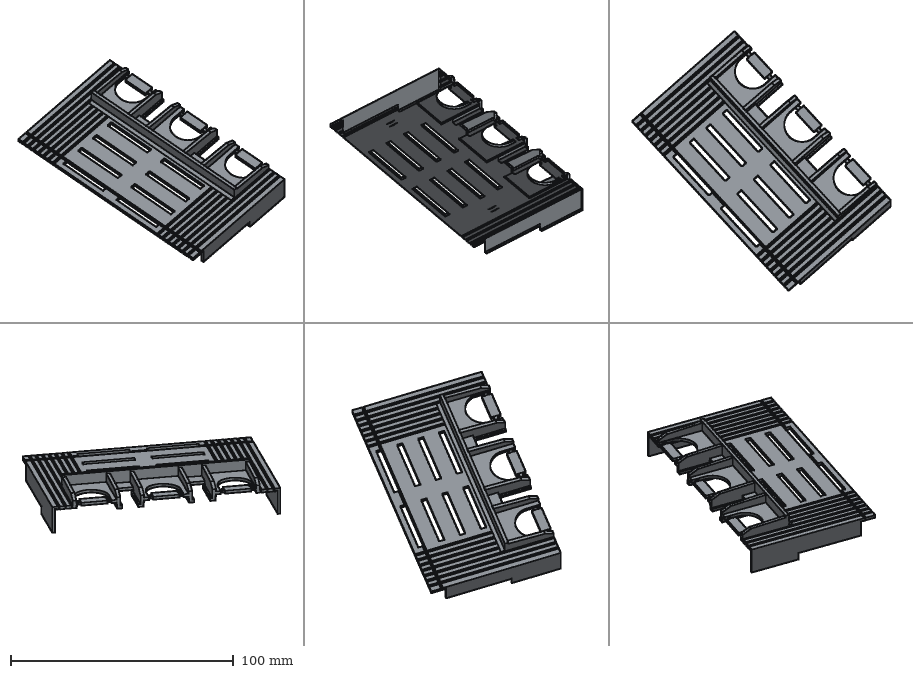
import cadquery as cq

length = 105.0
depth = 62.0
plate_thickness = 1.5
half_length = length / 2

skirt_thickness = 1.3
skirt_front_y = 7.1
skirt_drop = 9.0
skirt_rear_drop = 12.5

groove_half_width = 0.5
groove_depth = 0.37
groove_count = 7
through_groove_count = 3
first_groove_inset = 3.0
last_groove_inset = 21.1
groove_pitch = (last_groove_inset - first_groove_inset) / (groove_count - 1)
relief_width = 0.8
relief_depth = 0.4
front_groove_y = 5.1

wall_half_length = 43.0
wall_height = 6.0
wall_thickness = 1.7
wall_front_y = 38.5
footing_width = 1.8
footing_height = 0.7

rib_thickness = 1.7
rib_wall_height = 5.0
rib_shoulder_height = 4.3
rib_rear_height = 2.2
rib_shoulder_run = 4.2

bay_pitch = 33.1
bay_radius = 8.0
bay_floor_rise = 0.9
bay_bottom_z = bay_floor_rise - plate_thickness
bay_arc_y = 55.5
tab_length = 12.1
tab_width = 4.7
pin_width = 1.8
pin_rear_inset = 1.6
pin_neck_thickness = 0.5

notch_center_x = bay_pitch / 2
notch_width = 9.2
notch_inner_x = notch_center_x - notch_width / 2
notch_outer_x = notch_center_x + notch_width / 2
notch_depth = 15.4
rail_drop = 2.0
rail_stem_thickness = 1.5
rail_foot_width = 2.4
rail_foot_thickness = 1.4

slot_length = 23.9
slot_width = 2.5
slot_center_x = 16.0
slot_rows = 4
slot_pitch = 10.0
first_slot_y = 4.0

ridge_length = 2.1
ridge_half_width = 2.1
ridge_height = 0.3
ridge_center_x = 37.1
ridge_center_y = 23.1


def block(x0, x1, y0, y1, z0, z1):
    """Box between two opposite corners."""
    return cq.Workplane("XY").box(x1 - x0, y1 - y0, z1 - z0, centered=False).translate((x0, y0, z0))


def prism_along_x(points, x0, x1):
    """Outline of (y, z) points extruded from x0 to x1."""
    return cq.Workplane("YZ").workplane(offset=x0).polyline(points).close().extrude(x1 - x0)


def prism_along_y(points, y0, y1):
    """Outline of (x, z) points extruded from y0 to y1."""
    return cq.Workplane("XZ").workplane(offset=-y1).polyline(points).close().extrude(y1 - y0)


def groove_outline(center, surface_z, vertex_z):
    """Triangle of a V groove that opens at surface_z."""
    return [
        (center - groove_half_width, surface_z),
        (center + groove_half_width, surface_z),
        (center, vertex_z),
    ]


def mirror_pair(shape):
    """The shape together with its mirror image across X = 0."""
    return shape.union(shape.mirror("YZ"))


def make_skirt():
    outline = [
        (skirt_front_y, 0),
        (depth, 0),
        (depth, -skirt_rear_drop),
        (wall_front_y, -skirt_rear_drop),
        (wall_front_y, -skirt_drop),
        (skirt_front_y, -skirt_drop),
    ]
    return prism_along_x(outline, -half_length, -half_length + skirt_thickness)


def cut_top_grooves(body):
    """Outer grooves run the full depth; those in line with the wall stop at its footing."""
    for index in range(groove_count):
        x = -half_length + first_groove_inset + index * groove_pitch
        rear_y = depth if index < through_groove_count else wall_front_y - footing_width
        groove = prism_along_y(groove_outline(x, 0, -groove_depth), 0, rear_y)
        body = body.cut(mirror_pair(groove))
    front_groove = groove_outline(front_groove_y, 0, -groove_depth)
    return body.cut(prism_along_x(front_groove, -half_length, half_length))


def cut_bottom_grooves(body):
    """Grooves below the outer top grooves, and a square relief beside each skirt."""
    relief_x = -half_length + skirt_thickness
    relief_top_z = relief_depth - plate_thickness
    cutter = block(relief_x, relief_x + relief_width, 0, depth, -plate_thickness, relief_top_z)
    for index in range(through_groove_count):
        x = -half_length + first_groove_inset + index * groove_pitch
        outline = groove_outline(x, -plate_thickness, groove_depth - plate_thickness)
        cutter = cutter.union(prism_along_y(outline, 0, depth))
    return body.cut(mirror_pair(cutter))


def make_wall():
    wall_rear_y = wall_front_y + wall_thickness
    wall = block(
        -wall_half_length, wall_half_length, wall_front_y, wall_rear_y, -plate_thickness, wall_height
    )
    footing_outline = [
        (wall_front_y - footing_width, 0),
        (wall_front_y, 0),
        (wall_front_y, footing_height),
    ]
    return wall.union(prism_along_x(footing_outline, -wall_half_length, wall_half_length))


def make_rib(x0):
    outline = [
        (wall_front_y, -plate_thickness),
        (depth, -plate_thickness),
        (depth, rib_rear_height),
        (depth - rib_shoulder_run, rib_shoulder_height),
        (wall_front_y + wall_thickness, rib_wall_height),
        (wall_front_y, rib_wall_height),
    ]
    return prism_along_x(outline, x0, x0 + rib_thickness)


def make_ribs():
    """One rib at each end of the wall and one on each side of every notch."""
    ribs = make_rib(-wall_half_length)
    ribs = ribs.union(make_rib(-notch_outer_x - rib_thickness))
    ribs = ribs.union(make_rib(-notch_inner_x))
    return mirror_pair(ribs)


def replace_bay_floor(body, x0, x1):
    """Swap the plate behind the wall, from x0 to x1, for a floor of the same thickness set higher."""
    body = body.cut(block(x0, x1, wall_front_y, depth, -plate_thickness, 0))
    return body.union(block(x0, x1, wall_front_y, depth, bay_bottom_z, bay_floor_rise))


def make_bay_opening(x):
    arc = cq.Workplane("XY", origin=(x, bay_arc_y, bay_bottom_z)).circle(bay_radius).extrude(plate_thickness)
    return arc.union(block(x - bay_radius, x + bay_radius, bay_arc_y, depth, bay_bottom_z, bay_floor_rise))


def make_tab(x):
    """Tab held by two pins that taper to thin necks at the sides of the opening."""
    half_tab = tab_length / 2
    tab = block(x - half_tab, x + half_tab, depth - tab_width, depth, bay_bottom_z, bay_floor_rise)
    pin_rear_y = depth - pin_rear_inset
    for side in (-1, 1):
        outline = [
            (x + side * half_tab, bay_floor_rise),
            (x + side * bay_radius, bay_bottom_z + pin_neck_thickness),
            (x + side * bay_radius, bay_bottom_z),
            (x + side * half_tab, bay_bottom_z),
        ]
        tab = tab.union(prism_along_y(outline, pin_rear_y - pin_width, pin_rear_y))
    return tab


def make_notch():
    return block(notch_inner_x, notch_outer_x, depth - notch_depth, depth, -plate_thickness, 0)


def make_rail(side):
    """L-shaped rail under the rib on one side of the notch, its foot reaching into the notch."""
    bottom_z = -plate_thickness - rail_drop
    foot_z = bottom_z + rail_foot_thickness
    stem_x = notch_center_x + side * notch_width / 2
    outer_x = stem_x + side * rail_stem_thickness
    foot_x = outer_x - side * rail_foot_width
    outline = [
        (outer_x, -plate_thickness),
        (outer_x, bottom_z),
        (foot_x, bottom_z),
        (foot_x, foot_z),
        (stem_x, foot_z),
        (stem_x, -plate_thickness),
    ]
    return prism_along_y(outline, depth - notch_depth, depth)


def make_slots():
    points = [
        (side * slot_center_x, first_slot_y + row * slot_pitch)
        for row in range(slot_rows)
        for side in (-1, 1)
    ]
    return cq.Workplane("XY").pushPoints(points).rect(slot_length, slot_width).extrude(-plate_thickness)


def make_ridge():
    outline = [
        (ridge_center_y - ridge_half_width, -plate_thickness),
        (ridge_center_y + ridge_half_width, -plate_thickness),
        (ridge_center_y, -plate_thickness - ridge_height),
    ]
    return prism_along_x(outline, ridge_center_x - ridge_length / 2, ridge_center_x + ridge_length / 2)


body = block(-half_length, half_length, 0, depth, -plate_thickness, 0)
body = body.union(mirror_pair(make_skirt()))
body = cut_top_grooves(body)
body = cut_bottom_grooves(body)
body = body.cut(make_slots())

bays = [
    (-bay_pitch, -wall_half_length, -notch_outer_x),
    (0.0, -notch_inner_x, notch_inner_x),
    (bay_pitch, notch_outer_x, wall_half_length),
]
for bay_x, left_x, right_x in bays:
    body = replace_bay_floor(body, left_x, right_x)
    body = body.cut(make_bay_opening(bay_x))
    body = body.union(make_tab(bay_x))

body = body.cut(mirror_pair(make_notch()))
body = body.union(make_wall())
body = body.union(make_ribs())
for rail_side in (-1, 1):
    body = body.union(mirror_pair(make_rail(rail_side)))
body = body.union(mirror_pair(make_ridge()))

result = body